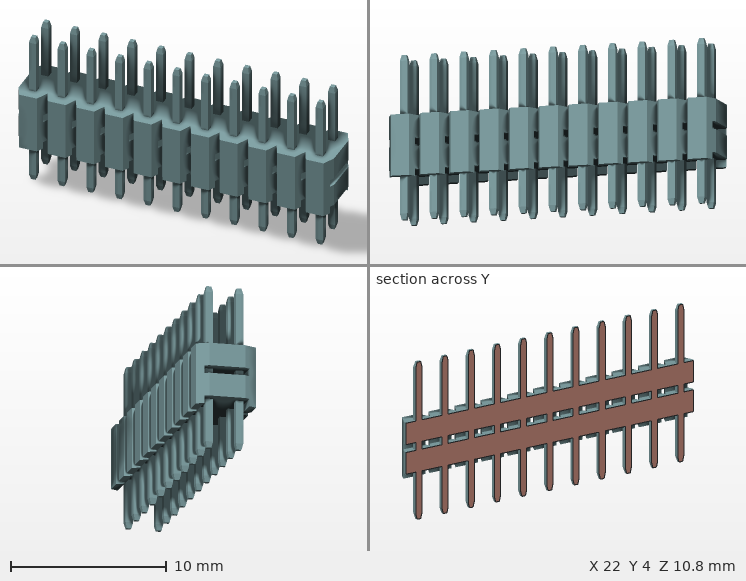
import cadquery as cq


BODY_LENGTH = 22.0
PINS_PER_ROW = 11
ROWS = 2
PITCH = BODY_LENGTH / PINS_PER_ROW
BODY_WIDTH = ROWS * PITCH
BODY_HEIGHT = 2 * PITCH

FLAT_LENGTH = 1.23
NOTCH_DEPTH = 0.81
NOTCH_HALF_WIDTH = (PITCH - FLAT_LENGTH) / 2

WINDOW_WIDTH = 1.5 * PITCH
WINDOW_HEIGHT = PITCH / 4
WINDOW_FLOOR = 2.0
RELIEF_HEIGHT = 0.48

PIN_WIDTH = PITCH / 4
PIN_ABOVE_BODY = 2 * PITCH
PIN_BELOW_BODY = 2.75
TIP_WIDTH = 0.3
TIP_HEIGHT = 0.4


def make_body():
    """Block with V-notches along both long sides."""
    half_length = BODY_LENGTH / 2
    half_width = BODY_WIDTH / 2
    body = cq.Workplane("XY").box(BODY_LENGTH, BODY_WIDTH, BODY_HEIGHT, centered=(True, True, False))
    for side in (-1, 1):
        for index in range(PINS_PER_ROW + 1):
            notch_x = index * PITCH - half_length
            notch = (
                cq.Workplane("XY")
                .moveTo(notch_x - NOTCH_HALF_WIDTH, side * half_width)
                .lineTo(notch_x, side * (half_width - NOTCH_DEPTH))
                .lineTo(notch_x + NOTCH_HALF_WIDTH, side * half_width)
                .close()
                .extrude(BODY_HEIGHT)
            )
            body = body.cut(notch)
    return body


def make_channel(floor, height):
    """Rectangular channel running the full length of the body."""
    channel = cq.Workplane("XY").box(BODY_LENGTH, WINDOW_WIDTH, height, centered=(True, True, False))
    return channel.translate((0, 0, floor))


def make_tip(base_z, direction):
    """Tapered pin end, pointing up (direction 1) or down (direction -1)."""
    return (
        cq.Workplane("XY", origin=(0, 0, base_z))
        .rect(PIN_WIDTH, PIN_WIDTH)
        .workplane(offset=direction * TIP_HEIGHT)
        .rect(TIP_WIDTH, TIP_WIDTH)
        .loft(ruled=True)
    )


def make_pin():
    """Square pin on the Z axis with a tapered tip at each end."""
    shank_bottom = TIP_HEIGHT - PIN_BELOW_BODY
    shank_top = BODY_HEIGHT + PIN_ABOVE_BODY - TIP_HEIGHT
    shank = (
        cq.Workplane("XY", origin=(0, 0, shank_bottom))
        .rect(PIN_WIDTH, PIN_WIDTH)
        .extrude(shank_top - shank_bottom)
    )
    return shank.union(make_tip(shank_top, 1)).union(make_tip(shank_bottom, -1))


result = make_body()
result = result.cut(make_channel(WINDOW_FLOOR, WINDOW_HEIGHT))
result = result.cut(make_channel(0, RELIEF_HEIGHT))

pin = make_pin()
for row in range(ROWS):
    pin_y = (row - (ROWS - 1) / 2) * PITCH
    for column in range(PINS_PER_ROW):
        pin_x = (column - (PINS_PER_ROW - 1) / 2) * PITCH
        result = result.union(pin.translate((pin_x, pin_y, 0)))